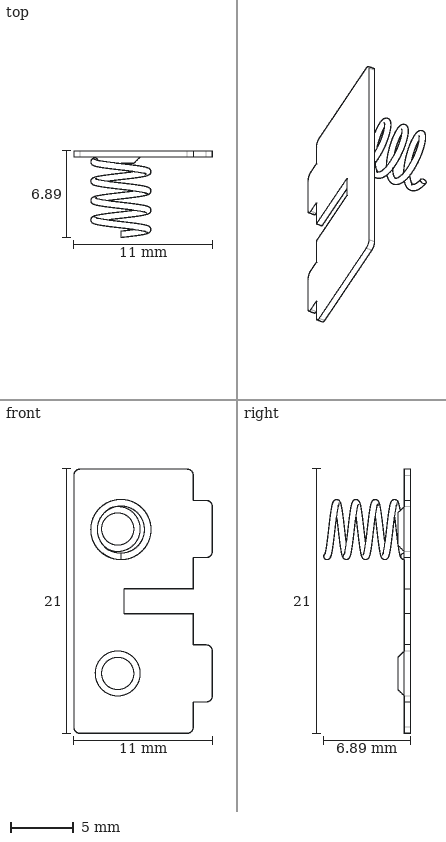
import cadquery as cq

height = 21.0
body_width = 9.5
overall_width = 11.0
thickness = 0.5
corner_radius = 0.5

station_z = 5.74
tab_height = 4.55

slot_start_x = 4.0
slot_height = 1.97

boss_x = 3.49
boss_base_radius = 1.79
boss_top_radius = 1.28
boss_height = 0.5

spring_x = 3.75
spring_z = 5.7
spring_outer_radius = 2.4
wire_diameter = 0.53
pitch = 1.53
turns = 4


def plate_box(x_start, x_end, z_center, z_size):
    """Box through the plate thickness, between two X positions."""
    return (
        cq.Workplane("XY")
        .box(x_end - x_start, thickness, z_size, centered=(False, False, True))
        .translate((x_start, 0, z_center))
    )


def make_plate():
    plate = plate_box(0, body_width, 0, height).edges("|Y").fillet(corner_radius)
    for z in (-station_z, station_z):
        tab = plate_box(body_width / 2, overall_width, z, tab_height)
        plate = plate.union(tab.edges("|Y and >X").fillet(corner_radius))
    return plate.cut(plate_box(slot_start_x, body_width, 0, slot_height))


def make_boss(z):
    cone = cq.Solid.makeCone(
        boss_base_radius,
        boss_top_radius,
        boss_height,
        pnt=cq.Vector(boss_x, 0, z),
        dir=cq.Vector(0, -1, 0),
    )
    return cq.Workplane(obj=cone)


def make_spring():
    coil_radius = spring_outer_radius - wire_diameter / 2
    helix = cq.Wire.makeHelix(pitch, pitch * turns, coil_radius, lefthand=True)
    coil = (
        cq.Workplane("XZ")
        .center(coil_radius, 0)
        .circle(wire_diameter / 2)
        .sweep(cq.Workplane(obj=helix), isFrenet=True)
    )
    seat = cq.Plane(origin=(spring_x, 0, spring_z), xDir=(0, 0, -1), normal=(0, -1, 0))
    return cq.Workplane(obj=coil.val().moved(cq.Location(seat)))


result = make_plate()
for boss_z in (-station_z, station_z):
    result = result.union(make_boss(boss_z))
result = result.union(make_spring())